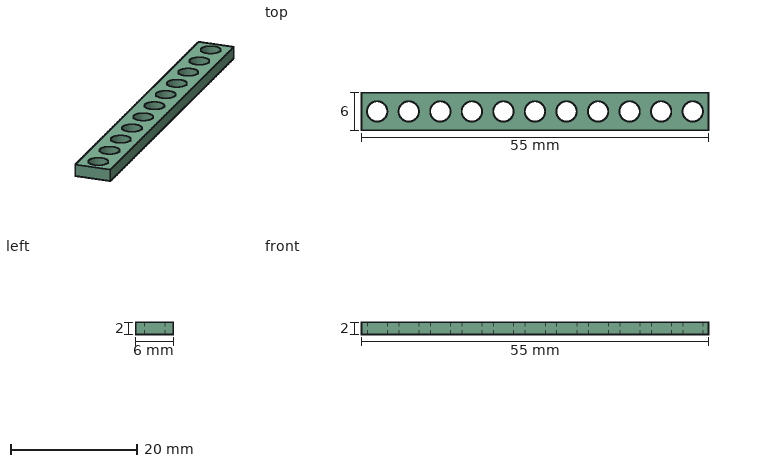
import cadquery as cq

length = 55.0
width = 6.0
thickness = 2.0

hole_count = 11
hole_diameter = 3.2
hole_pitch = length / hole_count

bar = cq.Workplane("XY").box(length, width, thickness)

result = (
    bar.faces(">Z")
    .workplane()
    .rarray(hole_pitch, width, hole_count, 1)
    .hole(hole_diameter)
)